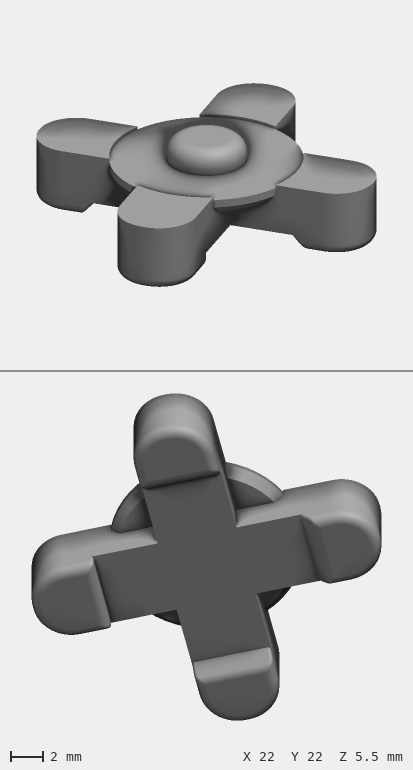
import cadquery as cq

span = 22.0
arm_width = 5.0
arm_end_radius = 2.4
underside_z = 1.0
arm_top_z = 4.2

sloped_foot_start = 6.5
sloped_foot_setback = 0.9
upright_foot_start = 6.6
foot_corner_radius = 0.2
foot_edge_radius = 0.6

disc_radius = 6.0
disc_bottom_z = 3.0
disc_top_z = 4.0
rim_chamfer = 0.5

button_diameter = arm_width
button_top_z = 5.5
button_edge_radius = 1.0


def cylinder(radius, bottom_z, top_z):
    return cq.Workplane("XY").workplane(offset=bottom_z).circle(radius).extrude(top_z - bottom_z)


def turned(body, angle):
    return body.rotate((0, 0, 0), (0, 0, 1), angle)


def arm_bar():
    """Flat-bottomed bar along X, over the whole span, with rounded ends."""
    return (
        cq.Workplane("XY")
        .workplane(offset=underside_z)
        .box(span, arm_width, arm_top_z - underside_z, centered=(True, True, False))
        .edges("|Z")
        .fillet(arm_end_radius)
    )


def foot(inner_start, inner_setback):
    """Foot on the +X arm; its inner face runs outward by inner_setback from top to bottom."""
    outer_x = span / 2
    block = (
        cq.Workplane("XZ")
        .moveTo(inner_start, underside_z)
        .lineTo(outer_x, underside_z)
        .lineTo(outer_x, 0)
        .lineTo(inner_start + inner_setback, 0)
        .close()
        .extrude(arm_width / 2, both=True)
    )
    block = block.faces(">X").edges("|Z").fillet(arm_end_radius)
    block = block.faces("<Z").edges().fillet(foot_edge_radius)
    return block.faces("<X").edges("not |Y").fillet(foot_corner_radius)


def disc():
    return cylinder(disc_radius, disc_bottom_z, disc_top_z).faces("<Z").chamfer(rim_chamfer)


def button():
    post = cylinder(button_diameter / 2, disc_bottom_z, button_top_z)
    return post.faces(">Z").edges().fillet(button_edge_radius)


result = arm_bar().union(turned(arm_bar(), 90))

result = result.cut(cylinder(disc_radius, disc_top_z, arm_top_z))

for angle in (0, 90, 180):
    result = result.union(turned(foot(sloped_foot_start, sloped_foot_setback), angle))
result = result.union(turned(foot(upright_foot_start, 0), 270))

result = result.union(disc()).union(button())